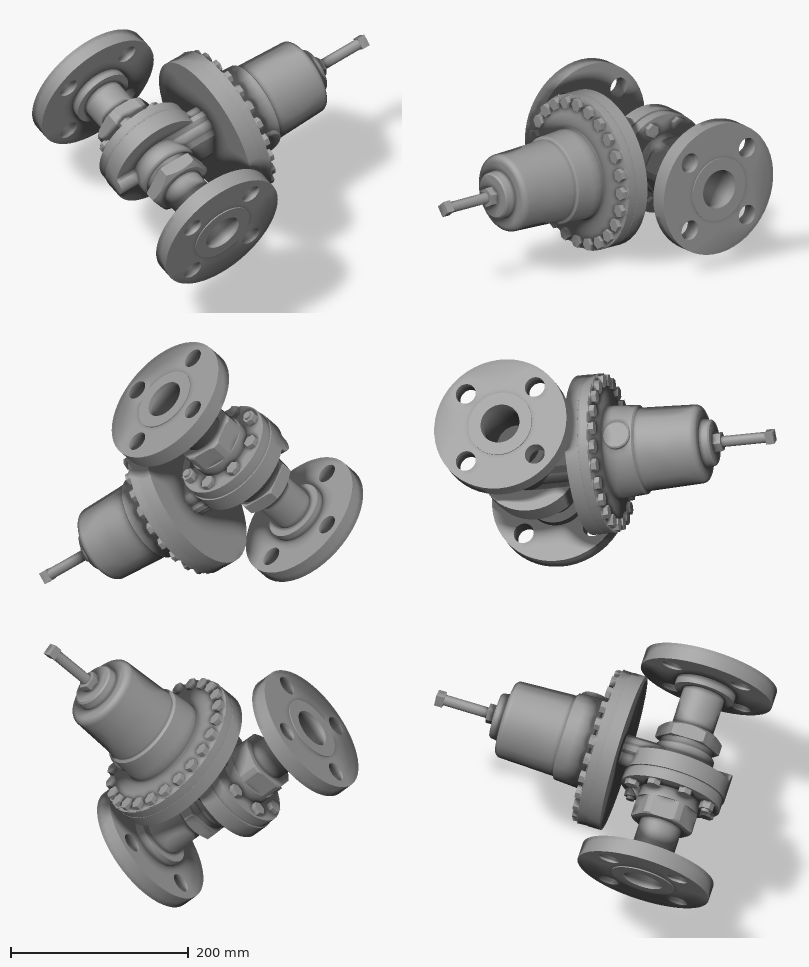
import cadquery as cq
import math


run_length = 260.5
half_run = run_length / 2
raised_face_height = 1.27
raised_face_radius = 37.0
flange_thickness = 19.2
flange_radius = 77.5
hub_radius = 35.0
hub_length = 9.8
pipe_diameter = 48.3
pipe_radius = pipe_diameter / 2
bore_diameter = 45.5
bore_radius = bore_diameter / 2
bore_depth = 68.3
flange_bolt_circle = 57.0
flange_hole_radius = 11.5
flange_hole_count = 4
first_hole_angle = 45

nut_flats = 65.5
inlet_nut_start = -61.7
inlet_nut_end = -39.0
inlet_nut_diameter = 71.5
inlet_nut_chamfer = 1.8
outlet_nut_start = 36.0
outlet_nut_end = 53.0
outlet_nut_front_chamfer = 1.0
outlet_nut_cone_length = 4.7
outlet_nut_end_radius = 30.5

collar_radius = 35.2
cover_start = -26.0
cover_radius = 58.0
gasket_radius = 57.0
gasket_thickness = 0.9
body_start = -12.7
cover_end = body_start - gasket_thickness
body_end = 7.3
body_radius = 59.5
collar_end = 28.7
collar_fillet = 4.0
body_neck_radius = 30.5

cover_bolt_circle = 47.5
cover_bolt_count = 8
cover_bolt_flats = 14.0
cover_bolt_height = 6.0
stud_nut_height = 8.5
stud_tip_radius = 4.7
stud_tip_length = 3.3
stud_angles = (157.5, 337.5)

rib_thickness = 7.3

lug_foot = 12.0
lug_tip = 18.5
lug_shoulder_x = 12.0
lug_shoulder = 9.0
lug_blend_x = 8.7
lug_blend = 10.0
lug_overlap = 3.5

actuator_x = 7.0
disc_bottom = 65.5
disc_top = 91.5
disc_radius = 90.0
disc_joint = 80.5
joint_radius = 89.7
actuator_bolt_circle = 81.7
actuator_bolt_count = 24
washer_radius = 8.7
washer_top = 92.5
actuator_bolt_flats = 13.0
actuator_bolt_top = 98.8

neck_cover_side = -13.8
neck_outlet_side = 24.7
neck_cover_side_half = 21.8
neck_cover_arc_middle = (-11.5, 29.5)
neck_outlet_side_half = 16.5
neck_shelf_start = -7.0
neck_shelf_end = -1.8
neck_shelf_half = 32.0
neck_crest_start = 1.0
neck_crest_half = 35.5
neck_round_start = 11.5
neck_round_start_half = 31.2
neck_round_middle = (17.8, 29.0)
neck_round_end = 20.7
neck_round_end_half = 23.2

bell_foot = 98.8
bell_foot_fillet = 2.0
bell_base_radius = 52.5
skirt_top = 132.2
skirt_top_radius = 50.5
bell_start = 134.5
bell_start_radius = 47.2
dome_start = 197.5
dome_start_radius = 44.5
dome_round = 7.3
bell_top = dome_start + dome_round
cap_base_radius = 27.5
cap_edge = 214.3
cap_edge_radius = 26.0
cap_top = 216.0
cap_top_radius = 24.5

vent_y = 115.5
vent_radius = 16.0
vent_reach = 61.0
vent_chamfer = 1.5

lock_nut_top = 225.0
lock_nut_flats = 20.0
screw_radius = 6.0
screw_head_start = 276.5
screw_head_side = 13.5
screw_head_turn = 50.0
overall_depth = 363.0
screw_end = overall_depth - flange_radius


def across_corners(flats):
    """Corner-to-corner width of a hexagon."""
    return flats / math.cos(math.pi / 6)


def round_x(start, end, radius):
    """Cylinder on the pipe axis."""
    return cq.Workplane("YZ").workplane(offset=start).circle(radius).extrude(end - start)


def hex_x(start, end, flats, corner_angle, y=0, z=0):
    """Hexagonal prism along X; the corner angle is measured from +Y towards +Z."""
    prism = cq.Workplane("YZ").polygon(6, across_corners(flats)).extrude(end - start)
    return prism.rotate((0, 0, 0), (1, 0, 0), corner_angle).translate((start, y, z))


def plane_y(y, z=0):
    """Plane facing +Y, centred on the actuator and offset by z, with its local y along +Z."""
    return cq.Workplane(cq.Plane(origin=(actuator_x, y, z), xDir=(-1, 0, 0), normal=(0, 1, 0)))


def pipe_end():
    """Flange, hub and pipe of the outlet side, bored from the raised face."""
    flange_face = half_run - raised_face_height
    flange_back = flange_face - flange_thickness
    end = round_x(flange_back, flange_face, flange_radius)
    holes = (
        cq.Workplane("YZ")
        .workplane(offset=flange_back)
        .polarArray(flange_bolt_circle, first_hole_angle, 360, flange_hole_count)
        .circle(flange_hole_radius)
        .extrude(flange_thickness)
    )
    end = end.cut(holes)
    end = end.union(round_x(flange_face, half_run, raised_face_radius))
    end = end.union(round_x(flange_back - hub_length, flange_back, hub_radius))
    end = end.union(round_x(0, flange_back, pipe_radius))
    return end.cut(round_x(half_run - bore_depth, half_run, bore_radius))


def inlet_nut():
    """Hexagon with its corners turned down to a cylinder that is chamfered at the pipe side."""
    blank = round_x(inlet_nut_start, inlet_nut_end, inlet_nut_diameter / 2)
    blank = blank.faces("<X").chamfer(inlet_nut_chamfer)
    return blank.intersect(hex_x(inlet_nut_start, inlet_nut_end, nut_flats, 0))


def outlet_nut():
    """Hexagon with a shallow cone on the valve side and a steep one on the pipe side."""
    corner = across_corners(nut_flats) / 2
    envelope = (
        cq.Workplane("XY")
        .moveTo(outlet_nut_start, 0)
        .lineTo(outlet_nut_start, corner - outlet_nut_front_chamfer)
        .lineTo(outlet_nut_start + outlet_nut_front_chamfer, corner)
        .lineTo(outlet_nut_end - outlet_nut_cone_length, corner)
        .lineTo(outlet_nut_end, outlet_nut_end_radius)
        .lineTo(outlet_nut_end, 0)
        .close()
        .revolve(360, (0, 0, 0), (1, 0, 0))
    )
    return hex_x(outlet_nut_start, outlet_nut_end, nut_flats, 0).intersect(envelope)


def valve_body():
    """Collars, cover and body rings on the pipe axis."""
    collar = round_x(body_end, collar_end, collar_radius).faces(">X").edges().fillet(collar_fillet)
    body = round_x(inlet_nut_end, cover_start, collar_radius)
    body = body.union(round_x(cover_start, cover_end, cover_radius))
    body = body.union(round_x(cover_end, body_start, gasket_radius))
    body = body.union(round_x(body_start, body_end, body_radius))
    body = body.union(round_x(collar_end, outlet_nut_start, body_neck_radius))
    return body.union(collar)


def cover_bolts():
    """Ring of hexagon heads; two of them are taller nuts with the stud showing."""
    bolts = cq.Workplane("YZ")
    for i in range(cover_bolt_count):
        angle = (i + 0.5) * 360 / cover_bolt_count
        y = cover_bolt_circle * math.cos(math.radians(angle))
        z = cover_bolt_circle * math.sin(math.radians(angle))
        corner_angle = 0 if abs(y) > abs(z) else 90
        is_stud = angle in stud_angles
        top = cover_start - (stud_nut_height if is_stud else cover_bolt_height)
        bolts = bolts.union(hex_x(top, cover_start, cover_bolt_flats, corner_angle, y, z))
        if is_stud:
            tip = round_x(top - stud_tip_length, top, stud_tip_radius)
            bolts = bolts.union(tip.translate((0, y, z)))
    return bolts


def cover_rib():
    """Thin rib rising at 45 degrees from the inlet collar to the cover."""
    rib_length = cover_start - inlet_nut_end
    return (
        cq.Workplane("XY")
        .moveTo(inlet_nut_end, pipe_radius)
        .lineTo(inlet_nut_end, collar_radius)
        .lineTo(cover_start, collar_radius + rib_length)
        .lineTo(cover_start, pipe_radius)
        .close()
        .extrude(rib_thickness / 2, both=True)
    )


def body_lug():
    """Rounded lug blended into the back of the body and ending flush with its rim."""
    lug = (
        cq.Workplane("XZ")
        .moveTo(body_end - lug_overlap, -lug_foot)
        .lineTo(body_end, -lug_foot)
        .threePointArc((lug_blend_x, -lug_blend), (lug_shoulder_x, -lug_shoulder))
        .threePointArc((lug_tip, 0), (lug_shoulder_x, lug_shoulder))
        .threePointArc((lug_blend_x, lug_blend), (body_end, lug_foot))
        .lineTo(body_end - lug_overlap, lug_foot)
        .close()
        .extrude(body_radius)
    )
    return lug.intersect(round_x(body_start, lug_tip, body_radius))


def actuator_neck():
    """Stem joining body and actuator: stepped on the cover side, rounded on the other."""
    upper_half = (
        cq.Workplane("XZ")
        .moveTo(neck_cover_side, 0)
        .lineTo(neck_cover_side, neck_cover_side_half)
        .threePointArc(neck_cover_arc_middle, (neck_shelf_start, neck_shelf_half))
        .lineTo(neck_shelf_end, neck_shelf_half)
        .lineTo(neck_crest_start, neck_crest_half)
        .lineTo(body_end, neck_crest_half)
        .lineTo(neck_round_start, neck_round_start_half)
        .threePointArc(neck_round_middle, (neck_round_end, neck_round_end_half))
        .lineTo(neck_outlet_side, neck_outlet_side_half)
        .lineTo(neck_outlet_side, 0)
        .close()
        .extrude(-disc_bottom)
    )
    return upper_half.union(upper_half.mirror("XY"))


def actuator_disc():
    """Plain lower housing, slightly tapered upper ring and a circle of washered hexagon heads."""
    bolt_step = 360 / actuator_bolt_count
    disc = plane_y(disc_bottom).circle(disc_radius).extrude(disc_joint - disc_bottom)
    upper_ring = (
        plane_y(disc_joint)
        .circle(joint_radius)
        .workplane(offset=disc_top - disc_joint)
        .circle(disc_radius)
        .loft()
    )
    disc = disc.union(upper_ring)
    washer = (
        plane_y(disc_top, z=actuator_bolt_circle).circle(washer_radius).extrude(washer_top - disc_top)
    )
    head = (
        plane_y(washer_top, z=actuator_bolt_circle)
        .polygon(6, across_corners(actuator_bolt_flats))
        .extrude(actuator_bolt_top - washer_top)
    )
    bolt = washer.union(head)
    for i in range(actuator_bolt_count):
        disc = disc.union(bolt.rotate((actuator_x, 0, 0), (actuator_x, 1, 0), i * bolt_step))
    return disc


def spring_bell():
    """Turned bell with a sloping flange, a filleted foot, a stepped skirt, a domed shoulder and a cap."""
    foot_mid = bell_foot_fillet * (1 - math.sqrt(0.5))
    dome_mid = dome_round * math.sqrt(0.5)
    dome_centre = dome_start_radius - dome_round
    bell = (
        cq.Workplane("XY", origin=(actuator_x, 0, 0))
        .moveTo(0, disc_top)
        .lineTo(disc_radius, disc_top)
        .lineTo(bell_base_radius + bell_foot_fillet, bell_foot)
        .threePointArc(
            (bell_base_radius + foot_mid, bell_foot + foot_mid),
            (bell_base_radius, bell_foot + bell_foot_fillet),
        )
        .lineTo(skirt_top_radius, skirt_top)
        .lineTo(bell_start_radius, bell_start)
        .lineTo(dome_start_radius, dome_start)
        .threePointArc((dome_centre + dome_mid, dome_start + dome_mid), (dome_centre, bell_top))
        .lineTo(cap_base_radius, bell_top)
        .lineTo(cap_edge_radius, cap_edge)
        .lineTo(cap_top_radius, cap_top)
        .lineTo(0, cap_top)
        .close()
        .revolve(360, (0, 0, 0), (0, 1, 0))
    )
    vent = (
        cq.Workplane("YZ", origin=(actuator_x, vent_y, 0))
        .circle(vent_radius)
        .extrude(vent_reach - actuator_x)
        .faces(">X")
        .chamfer(vent_chamfer)
    )
    return bell.union(vent)


def adjusting_screw():
    """Hexagon lock nut, plain screw and square head."""
    nut = (
        plane_y(cap_top)
        .transformed(rotate=(0, 0, 90))
        .polygon(6, across_corners(lock_nut_flats))
        .extrude(lock_nut_top - cap_top)
    )
    screw = plane_y(cap_top).circle(screw_radius).extrude(screw_head_start - cap_top)
    head = (
        plane_y(screw_head_start)
        .transformed(rotate=(0, 0, -screw_head_turn))
        .rect(screw_head_side, screw_head_side)
        .extrude(screw_end - screw_head_start)
    )
    return nut.union(screw).union(head)


outlet_end = pipe_end()
inlet_end = outlet_end.mirror("YZ")

result = outlet_end.union(inlet_end)
for feature in (
    valve_body(),
    inlet_nut(),
    outlet_nut(),
    cover_bolts(),
    cover_rib(),
    body_lug(),
    actuator_neck(),
    actuator_disc(),
    spring_bell(),
    adjusting_screw(),
):
    result = result.union(feature)